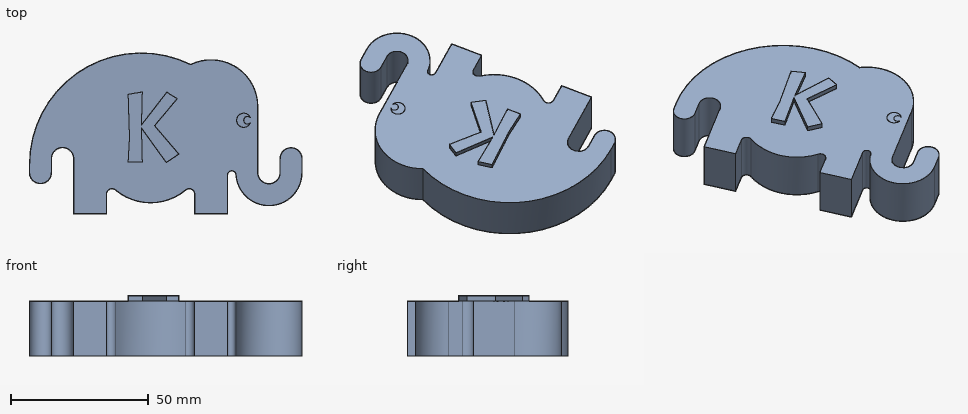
import cadquery as cq
import math

length = 99.05
thickness = 20.0
letter_height = 2.0
eye_depth = 2.0

band_width = 8.0
end_radius = band_width / 2
bend_y = 15.0
tip_y = 20.0
trunk_x = length - 1.5 * band_width
trunk_radius = 1.5 * band_width
face_x = length - 2 * band_width

leg_width = 12.0
rear_leg_left = 2 * band_width
rear_leg_right = rear_leg_left + leg_width
front_leg_left = 60.0
front_leg_right = front_leg_left + leg_width

back_radius = 40.6
back_y = 17.8
head_radius = 17.0
head_x = face_x - head_radius
head_y = 38.9

belly_radius = 19.8
belly_bottom = 4.0
belly_x = (rear_leg_right + front_leg_left) / 2
belly_y = belly_bottom + belly_radius
belly_notch_radius = 2.0
throat_notch_y = 14.1

eye_x = 77.9
eye_y = 34.0
eye_radius = 2.6
bite_radius = 1.4
bite_offset = 1.4

letter_points = [
    (35.9, 43.4), (41.0, 44.3), (40.7, 32.3),
    (49.9, 44.2), (53.7, 41.8), (45.5, 32.0),
    (54.3, 21.7), (49.7, 18.6), (40.7, 31.1),
    (41.0, 18.8), (35.9, 18.8), (36.4, 27.7),
]


def back_head_corner():
    """Upper point where the back arc crosses the head arc."""
    dx = head_x - back_radius
    dy = head_y - back_y
    distance = math.hypot(dx, dy)
    along = (back_radius**2 - head_radius**2 + distance**2) / (2 * distance)
    across = math.sqrt(back_radius**2 - along**2)
    return (
        back_radius + (along * dx - across * dy) / distance,
        back_y + (along * dy + across * dx) / distance,
    )


def arc_middle(center, radius, start, end):
    """Point halfway along the shorter arc from start to end."""
    dx = (start[0] + end[0]) / 2 - center[0]
    dy = (start[1] + end[1]) / 2 - center[1]
    scale = radius / math.hypot(dx, dy)
    return (center[0] + dx * scale, center[1] + dy * scale)


def elephant_outline():
    """Closed outline, clockwise from the left end of the back."""
    back_center = (back_radius, back_y)
    back_start = (0, back_y)
    head_center = (head_x, head_y)
    head_end = (face_x, head_y)
    nape = back_head_corner()

    throat_x = trunk_x - math.sqrt(trunk_radius**2 - (bend_y - throat_notch_y)**2)
    throat_radius = (throat_x - front_leg_right) / 2

    notch_dx = front_leg_left - belly_notch_radius - belly_x
    center_distance = belly_radius + belly_notch_radius
    notch_dy = math.sqrt(center_distance**2 - notch_dx**2)
    notch_y = belly_y - notch_dy
    belly_share = belly_radius / center_distance
    belly_end_dx = notch_dx * belly_share
    belly_end_y = belly_y - notch_dy * belly_share
    front_notch_center = (belly_x + notch_dx, notch_y)
    rear_notch_center = (belly_x - notch_dx, notch_y)
    front_notch_start = (front_leg_left, notch_y)
    rear_notch_end = (rear_leg_right, notch_y)
    belly_front = (belly_x + belly_end_dx, belly_end_y)
    belly_rear = (belly_x - belly_end_dx, belly_end_y)

    return (
        cq.Workplane("XY")
        .moveTo(*back_start)
        .threePointArc(arc_middle(back_center, back_radius, back_start, nape), nape)
        .threePointArc(arc_middle(head_center, head_radius, nape, head_end), head_end)
        .lineTo(face_x, bend_y)
        .threePointArc((trunk_x, bend_y - end_radius), (length - band_width, bend_y))
        .lineTo(length - band_width, tip_y)
        .threePointArc((length - end_radius, tip_y + end_radius), (length, tip_y))
        .lineTo(length, bend_y)
        .threePointArc((trunk_x, bend_y - trunk_radius), (throat_x, throat_notch_y))
        .threePointArc(
            (front_leg_right + throat_radius, throat_notch_y + throat_radius),
            (front_leg_right, throat_notch_y),
        )
        .lineTo(front_leg_right, 0)
        .lineTo(front_leg_left, 0)
        .lineTo(*front_notch_start)
        .threePointArc(
            arc_middle(front_notch_center, belly_notch_radius, front_notch_start, belly_front),
            belly_front,
        )
        .threePointArc((belly_x, belly_bottom), belly_rear)
        .threePointArc(
            arc_middle(rear_notch_center, belly_notch_radius, belly_rear, rear_notch_end),
            rear_notch_end,
        )
        .lineTo(rear_leg_right, 0)
        .lineTo(rear_leg_left, 0)
        .lineTo(rear_leg_left, tip_y)
        .threePointArc((rear_leg_left - end_radius, tip_y + end_radius), (band_width, tip_y))
        .lineTo(band_width, bend_y)
        .threePointArc((end_radius, bend_y - end_radius), (0, bend_y))
        .close()
    )


def make_eye():
    """Crescent inlay, flush with the top face of the elephant."""
    plane = cq.Workplane("XY", origin=(eye_x, eye_y, thickness - eye_depth))
    disc = plane.circle(eye_radius).extrude(eye_depth)
    bite = plane.center(bite_offset, 0).circle(bite_radius).extrude(eye_depth)
    return disc.cut(bite)


def make_elephant(eye):
    """Plate with a pocket that holds the eye."""
    return elephant_outline().extrude(thickness).cut(eye)


def make_letter():
    """Raised letter K, resting on the top face of the elephant."""
    plane = cq.Workplane("XY", origin=(0, 0, thickness))
    return plane.polyline(letter_points).close().extrude(letter_height)


eye = make_eye()
elephant = make_elephant(eye)
letter = make_letter()

bodies = [body.solids().val() for body in (elephant, eye, letter)]
result = cq.Compound.makeCompound(bodies)